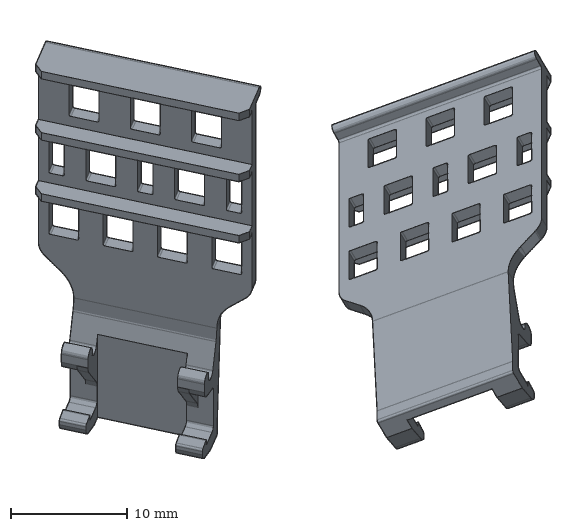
import cadquery as cq
import math


height = 40.45
panel_width = 19.2
panel_thickness = 1.1
waist_width = 12.85
shoulder_top_z = 17.68
shoulder_outer_radius = 2.1
shoulder_inner_radius = 4.05

rib_pitch = 7.3
rib_count = 3
rib_height = 0.9
rib_depth = 1.5
rib_chamfer = 0.73
flange_depth = 1.45
flange_height = 0.97
flange_tip_radius = flange_height / 2
flange_root_radius = 0.2

window_height = 3.95
window_drop = 2.15
wide_window = 2.65
narrow_window = 1.38
window_span = 17.3
window_radius = 0.15
top_row_pitch = 5.5

foot_top_z = 12.82
draft = math.tan(math.radians(20))
bend_z = 12.1
bend_radius = 4.05
wall_y = -1.0
recess_y = -0.8
recess_width = 8.05
foot_back_y = 0.15
foot_back_z = 1.45
foot_back_radius = 0.2

post_front_y = -3.65
post_back_y = -2.4
post_top_z = 10.07
post_corner_z = 7.65
post_corner_radius = 1.2
valley_z = 8.45
valley_radius = 0.6
inner_radius = 0.4

hook_front_y = -4.25
hook_floor_z = 1.7
lip_back_y = -3.0
lip_top_z = 2.4
lip_drop = 0.2
lip_back_radius = 0.15
lip_front_radius = 0.2
nose_corner_z = 0.9
nose_radius = 1.05

gusset_width = 1.0
gusset_top_z = 8.05
gusset_bottom_z = 4.3
gusset_radius = 1.2
gusset_root_depth = 0.4

same_point_gap = 4.05e-07


def rounded_outline(plane, corners):
    """Closed wire through (u, v, radius) corners; each corner is replaced by a tangent arc."""
    path = cq.Workplane(plane)
    for index, (u, v, radius) in enumerate(corners):
        corner = cq.Vector(u, v)
        previous = cq.Vector(*corners[index - 1][:2])
        following = cq.Vector(*corners[(index + 1) % len(corners)][:2])
        to_previous = (previous - corner).normalized()
        to_following = (following - corner).normalized()
        half_angle = to_previous.getAngle(to_following) / 2
        setback = radius / math.tan(half_angle)
        start = corner + to_previous * setback
        if index == 0:
            path = path.moveTo(start.x, start.y)
        elif (start - end).Length > same_point_gap:
            path = path.lineTo(start.x, start.y)
        end = corner + to_following * setback
        if radius:
            bisector = (to_previous + to_following).normalized()
            middle = corner + bisector * (radius / math.sin(half_angle) - radius)
            path = path.threePointArc((middle.x, middle.y), (end.x, end.y))
    return path.close()


def box(width, x_center, y_min, y_max, z_min, z_max):
    return cq.Workplane("XY").box(width, y_max - y_min, z_max - z_min).translate(
        (x_center, (y_min + y_max) / 2, (z_min + z_max) / 2)
    )


def rib_top(index):
    return height - index * rib_pitch


def panel():
    half_panel = panel_width / 2
    half_waist = waist_width / 2
    shoulder_bottom_z = shoulder_top_z - (half_panel - half_waist)
    right_side = [
        (half_waist, foot_top_z, 0),
        (half_waist, shoulder_bottom_z, shoulder_inner_radius),
        (half_panel, shoulder_top_z, shoulder_outer_radius),
        (half_panel, height, 0),
    ]
    left_side = [(-x, z, radius) for x, z, radius in reversed(right_side)]
    return rounded_outline("XZ", right_side + left_side).extrude(-panel_thickness)


def rib(index):
    top = rib_top(index)
    bar = box(panel_width, 0, -rib_depth, panel_thickness, top - rib_height, top)
    return bar.faces("<Y").edges("|Z").chamfer(rib_chamfer)


def flange():
    back_y = panel_thickness + flange_depth
    bottom = height - flange_height
    root_bottom = bottom - 2 * flange_root_radius
    corners = [
        (0, height, 0),
        (back_y, height, flange_tip_radius),
        (back_y, bottom, flange_tip_radius),
        (panel_thickness, bottom, flange_root_radius),
        (panel_thickness, root_bottom, 0),
        (0, root_bottom, 0),
    ]
    return rounded_outline("YZ", corners).extrude(panel_width / 2, both=True)


def window(row, x_center, width):
    top = rib_top(row) - window_drop
    opening = box(width, x_center, 0, panel_thickness, top - window_height, top)
    return opening.edges("|Y").fillet(window_radius)


def windows():
    outer_narrow = (window_span - narrow_window) / 2
    outer_wide = (window_span - wide_window) / 2
    openings = [window(0, step * top_row_pitch, wide_window) for step in (-1, 0, 1)]
    openings += [window(1, step * outer_narrow, narrow_window) for step in (-1, 0, 1)]
    openings += [window(1, side * outer_narrow / 2, wide_window) for side in (-1, 1)]
    openings += [window(2, step * outer_wide / 3, wide_window) for step in (-3, -1, 1, 3)]
    return openings


def clip():
    """Side profile of the tapered foot with its upper post and lower hook, across the waist."""
    valley_y = -(bend_z - valley_z) * draft
    post_tip_radius = (post_back_y - post_front_y) / 2
    underside_z = post_corner_z - (wall_y - post_front_y) * draft
    sole_front_y = hook_front_y + nose_corner_z / draft
    corners = [
        (panel_thickness, foot_top_z, 0),
        (0, foot_top_z, 0),
        (0, bend_z, bend_radius),
        (valley_y, valley_z, valley_radius),
        (post_back_y, valley_z, valley_radius),
        (post_back_y, post_top_z, post_tip_radius),
        (post_front_y, post_top_z, post_tip_radius),
        (post_front_y, post_corner_z, post_corner_radius),
        (wall_y, underside_z, inner_radius),
        (wall_y, hook_floor_z, inner_radius),
        (lip_back_y, hook_floor_z, 0),
        (lip_back_y, lip_top_z, lip_back_radius),
        (hook_front_y, lip_top_z - lip_drop, lip_front_radius),
        (hook_front_y, nose_corner_z, nose_radius),
        (sole_front_y, 0, 0),
        (foot_back_y, 0, foot_back_radius),
        (foot_back_y, foot_back_z, 0),
    ]
    return rounded_outline("YZ", corners).extrude(waist_width / 2, both=True)


def gusset(side):
    """Web under a post, next to the central recess."""
    root_y = wall_y + gusset_root_depth
    root_bottom_z = gusset_bottom_z - gusset_radius
    corners = [
        (root_y, valley_z, 0),
        (post_front_y, valley_z, 0),
        (post_front_y, gusset_top_z, post_corner_radius),
        (wall_y, gusset_bottom_z, gusset_radius),
        (wall_y, root_bottom_z, 0),
        (root_y, root_bottom_z, 0),
    ]
    web = rounded_outline("YZ", corners).extrude(gusset_width / 2, both=True)
    return web.translate((side * (recess_width + gusset_width) / 2, 0, 0))


body = panel().union(flange())
for rib_index in range(rib_count):
    body = body.union(rib(rib_index))
for opening in windows():
    body = body.cut(opening)

recess = box(recess_width, 0, hook_front_y, recess_y, 0, post_top_z)
body = body.union(clip().cut(recess))
for side in (-1, 1):
    body = body.union(gusset(side))

result = body